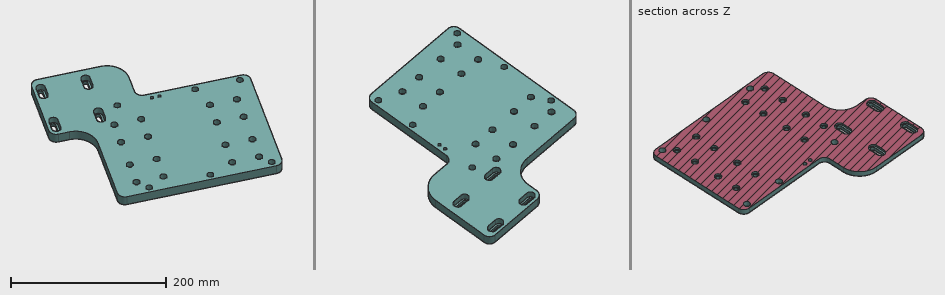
import cadquery as cq

THICKNESS = 15.0
WIDTH = 230.0
LENGTH = 275.0
PANEL_LEFT = 64.0
PANEL_BOTTOM = 55.0
FOOT_WIDTH = 100.0
FOOT_TOP = 125.0
CORNER_RADIUS = 10.0
SWEEP_RADIUS = 30.0

SIDE_HOLE_DIAMETER = 8.5
SIDE_HOLE_INSET = 8.0
LEFT_HOLE_YS = (97.0, 201.0, 261.0)
RIGHT_HOLE_YS = (97.0, 179.0, 261.0)

PIN_DIAMETER = 4.2
PIN_X = 71.0
PIN_YS = (143.5, 153.5)

SCREW_DIAMETER = 5.5
SCREW_HEAD_DIAMETER = 9.0
SCREW_HEAD_DEPTH = 10.0
SCREW_PITCH_X = 32.0
SCREW_PITCH_Y = 36.0
SCREW_GROUP_XS = (103.5, 176.5)
SCREW_GROUP_YS = (84.0, 212.0)

SLOT_LENGTH = 21.0
SLOT_WIDTH = 6.6
SLOT_HEAD_LENGTH = 25.0
SLOT_HEAD_WIDTH = 12.0
SLOT_HEAD_DEPTH = 10.0
SLOT_PITCH = 60.0
FIRST_SLOT_X = 22.0
FIRST_SLOT_Y = 10.5


def make_plate():
    """Large panel and foot as one outline, with every upright corner rounded."""
    panel_width = WIDTH - PANEL_LEFT
    panel_length = LENGTH - PANEL_BOTTOM
    panel = (
        cq.Workplane("XY")
        .box(panel_width, panel_length, THICKNESS, centered=False)
        .translate((PANEL_LEFT, PANEL_BOTTOM, 0))
    )
    foot = cq.Workplane("XY").box(FOOT_WIDTH, FOOT_TOP, THICKNESS, centered=False)
    plate = panel.union(foot)

    large_corners = [(0, FOOT_TOP), (FOOT_WIDTH, PANEL_BOTTOM)]
    small_corners = [
        (0, 0),
        (FOOT_WIDTH, 0),
        (WIDTH, PANEL_BOTTOM),
        (WIDTH, LENGTH),
        (PANEL_LEFT, LENGTH),
        (PANEL_LEFT, FOOT_TOP),
    ]
    plate = round_corners(plate, large_corners, SWEEP_RADIUS)
    return round_corners(plate, small_corners, CORNER_RADIUS)


def round_corners(plate, corners, radius):
    """Fillet the upright edge at each listed corner."""
    for x, y in corners:
        edge = cq.selectors.NearestToPointSelector((x, y, THICKNESS / 2))
        plate = plate.edges("|Z").edges(edge).fillet(radius)
    return plate


def top_face(plate, points):
    """Place points on the top face in plate coordinates."""
    return plate.faces(">Z").workplane(origin=(0, 0, THICKNESS)).pushPoints(points)


def cut_plain_holes(plate):
    """Side holes and pin holes, straight through."""
    left_holes = [(PANEL_LEFT + SIDE_HOLE_INSET, y) for y in LEFT_HOLE_YS]
    right_holes = [(WIDTH - SIDE_HOLE_INSET, y) for y in RIGHT_HOLE_YS]
    pins = [(PIN_X, y) for y in PIN_YS]
    plate = top_face(plate, left_holes + right_holes).hole(SIDE_HOLE_DIAMETER)
    return top_face(plate, pins).hole(PIN_DIAMETER)


def cut_screw_holes(plate):
    """Screw holes counterbored from the top."""
    columns = [x + step for x in SCREW_GROUP_XS for step in (0, SCREW_PITCH_X)]
    rows = [y + step for y in SCREW_GROUP_YS for step in (0, SCREW_PITCH_Y)]
    points = [(x, y) for x in columns for y in rows]
    return top_face(plate, points).cboreHole(SCREW_DIAMETER, SCREW_HEAD_DIAMETER, SCREW_HEAD_DEPTH)


def cut_slots(plate):
    """Through slots, each with a wider recess from the top."""
    steps = (0, SLOT_PITCH)
    points = [(FIRST_SLOT_X + dx, FIRST_SLOT_Y + dy) for dx in steps for dy in steps]
    plate = top_face(plate, points).slot2D(SLOT_LENGTH, SLOT_WIDTH).cutThruAll()
    return top_face(plate, points).slot2D(SLOT_HEAD_LENGTH, SLOT_HEAD_WIDTH).cutBlind(-SLOT_HEAD_DEPTH)


result = cut_slots(cut_screw_holes(cut_plain_holes(make_plate())))